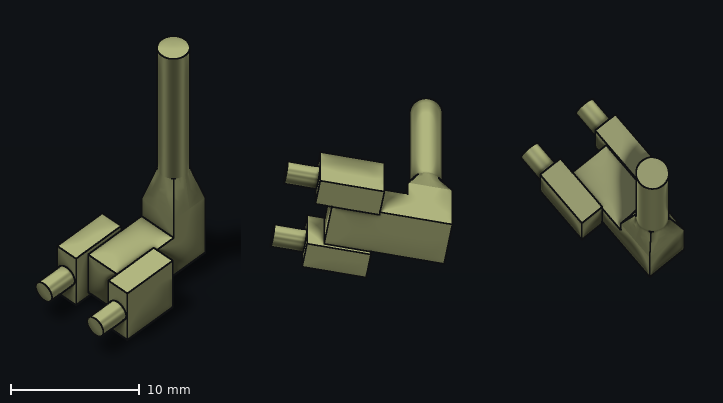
import cadquery as cq

total_height = 22.85
total_depth = 13.4
total_width = 7.61

body_width = 3.5
elbow_depth = 3.55
body_length = 9.5
body_bottom = 0.48
body_top = 4.57
elbow_top = 6.5

cable_diameter = 2.55
cable_bottom = 9.83
cable_y = -elbow_depth / 2

block_width = (total_width - body_width) / 2
block_height = 5.07
block_rear = -5.78
block_front = -10.85
pin_diameter = 1.78
pin_z = block_height / 2
block_x = (body_width + block_width) / 2


def make_body():
    """L-profile extruded symmetrically across the width."""
    return (
        cq.Workplane("YZ")
        .moveTo(0, body_bottom)
        .lineTo(0, elbow_top)
        .lineTo(-elbow_depth, elbow_top)
        .lineTo(-elbow_depth, body_top)
        .lineTo(-body_length, body_top)
        .lineTo(-body_length, body_bottom)
        .close()
        .extrude(body_width / 2, both=True)
    )


def make_transition():
    """Loft from the rectangular elbow top to the round cable."""
    return (
        cq.Workplane("XY", origin=(0, cable_y, elbow_top))
        .rect(body_width, elbow_depth)
        .workplane(offset=cable_bottom - elbow_top)
        .circle(cable_diameter / 2)
        .loft(ruled=True)
    )


def make_cable():
    return (
        cq.Workplane("XY", origin=(0, cable_y, cable_bottom))
        .circle(cable_diameter / 2)
        .extrude(total_height - cable_bottom)
    )


def make_side_block(x):
    """Rectangular block centred on x, with a round pin on its front face."""
    block = cq.Workplane("XY", origin=(x, (block_rear + block_front) / 2, 0)).box(
        block_width, block_rear - block_front, block_height, centered=(True, True, False)
    )
    pin = (
        cq.Workplane("XZ", origin=(x, block_front, pin_z))
        .circle(pin_diameter / 2)
        .extrude(total_depth + block_front)
    )
    return block.union(pin)


result = make_body().union(make_transition()).union(make_cable())
for side in (-1, 1):
    result = result.union(make_side_block(side * block_x))